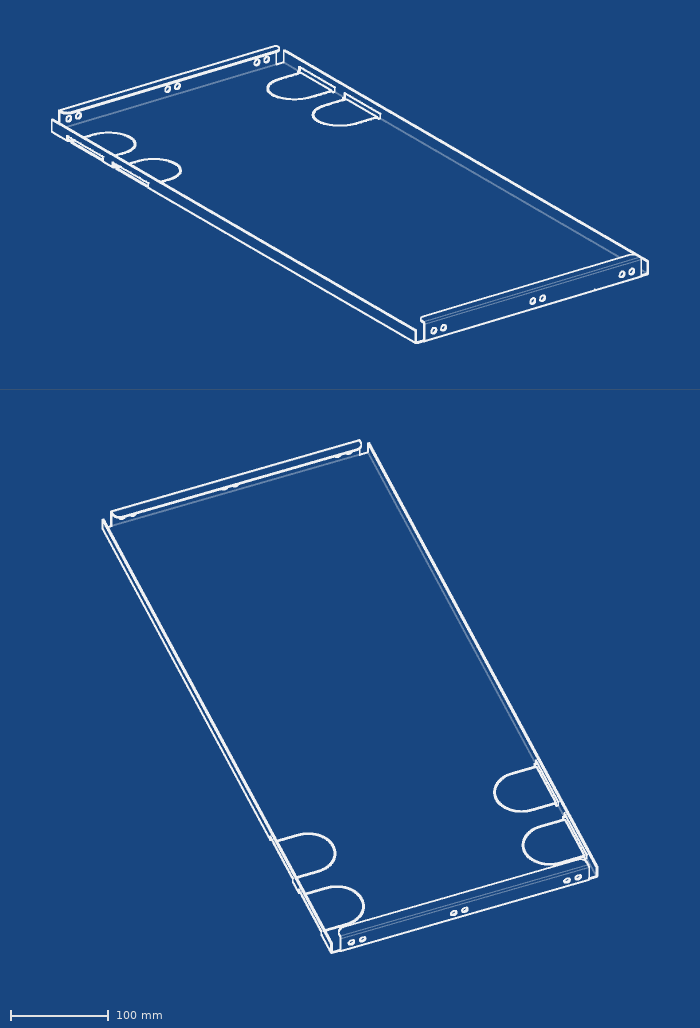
import cadquery as cq

length = 643.5
width = 294.0
height = 22.5
sheet = 1.5
bend_inner = 0.5
bend_outer = bend_inner + sheet

side_wall_height = 15.0
floor_length = length - 2 * bend_outer

end_wall_width = 273.5
lip_depth = 12.0
lip_corner_radius = 8.0

hole_diameter = 6.5
hole_height = 9.5
hole_pitch = 12.0
outer_hole_y = 125.0
hole_positions = [
    outer_hole_y,
    outer_hole_y - hole_pitch,
    hole_pitch,
    0,
    hole_pitch - outer_hole_y,
    -outer_hole_y,
]

knockout_centers_x = [-261.0, -181.5]
knockout_width = 54.0
knockout_depth = 56.5
slit = 0.95
tab_width = 1.0
window_width = 63.0
window_height = 6.5
window_reach = 3.0


def box(size_x, size_y, size_z, x=0.0, y=0.0, z=0.0):
    """Box centred on x and y, standing on z."""
    centering = (True, True, False)
    return cq.Workplane("XY", origin=(x, y, z)).box(size_x, size_y, size_z, centered=centering)


def side_channel():
    """Floor with the two long walls bent up from it."""
    outer = box(floor_length, width, side_wall_height).edges("|X and <Z").fillet(bend_outer)
    inner = box(floor_length, width - 2 * sheet, side_wall_height, z=sheet)
    return outer.cut(inner.edges("|X and <Z").fillet(bend_inner))


def end_channel():
    """Floor strip with both end walls and their inward lips."""
    outer = box(length, end_wall_width, height).edges("|Y").fillet(bend_outer)
    inner = box(length - 2 * sheet, end_wall_width, height - 2 * sheet, z=sheet)
    channel = outer.cut(inner.edges("|Y").fillet(bend_inner))
    lip_gap = box(length - 2 * lip_depth, end_wall_width, height, z=height / 2)
    channel = channel.cut(lip_gap)
    lip_ends = cq.selectors.BoxSelector(
        (-length / 2 + bend_outer, -width, height - 1.5 * sheet),
        (length / 2 - bend_outer, width, height + sheet),
    )
    return channel.edges(lip_ends).edges("|Z").fillet(lip_corner_radius)


def end_holes():
    """Round bars along X that pierce both end walls."""
    return (
        cq.Workplane("YZ", origin=(-length / 2, 0, 0))
        .pushPoints([(y, hole_height) for y in hole_positions])
        .circle(hole_diameter / 2)
        .extrude(length)
    )


def tongue(tongue_width, depth):
    """Round-ended plate reaching in from the -Y edge, at X = 0."""
    radius = tongue_width / 2
    straight_end = -width / 2 + depth - radius
    return (
        cq.Workplane("XY")
        .moveTo(-radius, -width / 2)
        .lineTo(-radius, straight_end)
        .threePointArc((0, straight_end + radius), (radius, straight_end))
        .lineTo(radius, -width / 2)
        .close()
        .extrude(sheet)
    )


def knockout_cut():
    """Slit around one knockout plus the wall window, leaving a tab at the tip."""
    flap = tongue(knockout_width, knockout_depth)
    slot = tongue(knockout_width + 2 * slit, knockout_depth + slit)
    window = box(window_width, 2 * window_reach, window_height, y=-width / 2)
    tab = box(tab_width, 4 * slit, sheet, y=-width / 2 + knockout_depth)
    bend_gap = box(window_width, 2 * bend_outer, window_height, y=-width / 2)
    return slot.union(window).cut(flap).cut(tab).union(bend_gap)


result = side_channel().union(end_channel()).cut(end_holes())
for center_x in knockout_centers_x:
    cutter = knockout_cut().translate((center_x, 0, 0))
    result = result.cut(cutter).cut(cutter.mirror("XZ"))